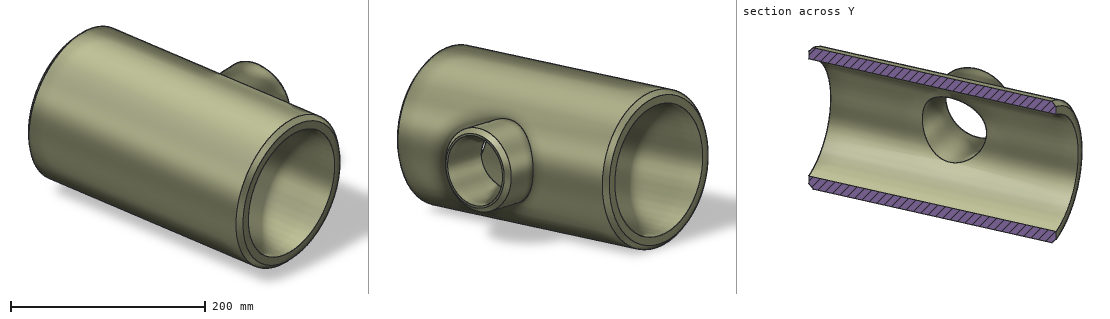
import cadquery as cq

run_length = 285.5
run_diameter = 168.2
run_bore = 140.2

branch_reach = 208.0 - run_diameter / 2
branch_diameter = 88.8
branch_bore = branch_diameter * run_bore / run_diameter

end_bevel = 5.0


def run_cylinder(diameter):
    """Cylinder along X over the full length of the main pipe."""
    return cq.Workplane("YZ").circle(diameter / 2).extrude(run_length / 2, both=True)


def branch_cylinder(diameter):
    """Cylinder along +Y from the pipe axis to the branch end."""
    return cq.Workplane("XZ").circle(diameter / 2).extrude(-branch_reach)


run_body = run_cylinder(run_diameter).faces("<X or >X").edges().chamfer(end_bevel)
branch_body = branch_cylinder(branch_diameter).faces(">Y").edges().chamfer(end_bevel)

outer_body = run_body.union(branch_body)
result = outer_body.cut(run_cylinder(run_bore)).cut(branch_cylinder(branch_bore))